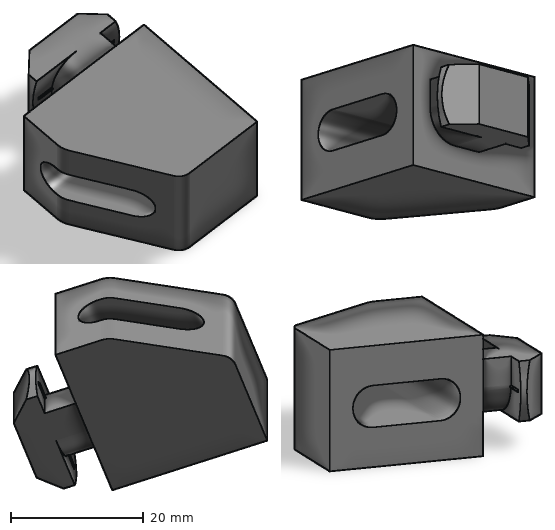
import cadquery as cq
import math

total_length = 35.9
block_side = 25.0
block_height = 19.0
block_start = total_length - block_side
slope_start = 19.35
slope_angle = math.radians(30)
slope_rise = (total_length - slope_start) * math.tan(slope_angle)
slope_start_radius = 4.0
slope_end_radius = 2.5

slot_start = 14.6
slot_length = 17.52
slot_width = 6.55

head_width = 18.02
head_side_bulge = 0.8
head_height = 9.45
head_depth = 5.0
head_front_width = 10.05
head_overhang = 0.5
head_y = block_side + head_overhang - head_width / 2
neck_radius = head_front_width / 2

ridge_height = 0.2
ridge_half_width = 0.2
ridge_reach = 7.95


def make_block():
    block = (
        cq.Workplane("XY")
        .workplane(offset=-block_height / 2)
        .moveTo(block_start, 0)
        .lineTo(slope_start, 0)
        .lineTo(total_length, slope_rise)
        .lineTo(total_length, block_side)
        .lineTo(block_start, block_side)
        .close()
        .extrude(block_height)
    )
    slope_start_edge = cq.selectors.NearestToPointSelector((slope_start, 0, 0))
    slope_end_edge = cq.selectors.NearestToPointSelector((total_length, slope_rise, 0))
    block = block.edges("|Z").edges(slope_start_edge).fillet(slope_start_radius)
    block = block.edges("|Z").edges(slope_end_edge).fillet(slope_end_radius)
    slot = (
        cq.Workplane("XZ")
        .center(slot_start + slot_length / 2, 0)
        .slot2D(slot_length, slot_width)
        .extrude(-block_side)
    )
    return block.cut(slot)


def make_head():
    """Flat-topped head with bowed sides, whose front tapers at 45 degrees on both sides."""
    half_width = head_width / 2
    edge_y = half_width - head_side_bulge
    half_height = head_height / 2
    bowed_bar = (
        cq.Workplane("YZ", origin=(0, head_y, 0))
        .moveTo(-edge_y, -half_height)
        .lineTo(edge_y, -half_height)
        .threePointArc((half_width, 0), (edge_y, half_height))
        .lineTo(-edge_y, half_height)
        .threePointArc((-half_width, 0), (-edge_y, -half_height))
        .close()
        .extrude(head_depth)
    )
    front_half = head_front_width / 2
    back_half = front_half + head_depth
    taper = (
        cq.Workplane("XY")
        .workplane(offset=-head_height / 2)
        .moveTo(0, head_y - front_half)
        .lineTo(head_depth, head_y - back_half)
        .lineTo(head_depth, head_y + back_half)
        .lineTo(0, head_y + front_half)
        .close()
        .extrude(head_height)
    )
    return bowed_bar.intersect(taper)


def make_neck():
    """Square neck with two opposite corners rounded so the head can turn a quarter."""
    neck_length = block_start - head_depth
    half_height = head_height / 2
    arc_middle = neck_radius * math.sqrt(0.5)
    arc_z = half_height - neck_radius
    return (
        cq.Workplane("YZ", origin=(head_depth, head_y, 0))
        .moveTo(-neck_radius, -half_height)
        .lineTo(0, -half_height)
        .threePointArc((arc_middle, -arc_z - arc_middle), (neck_radius, -arc_z))
        .lineTo(neck_radius, half_height)
        .lineTo(0, half_height)
        .threePointArc((-arc_middle, arc_z + arc_middle), (-neck_radius, arc_z))
        .close()
        .extrude(neck_length)
    )


def make_ridges():
    """Ridge line with sloping ends, passing through the neck to show on both sides."""
    ridge_top = head_depth + ridge_height
    bar = (
        cq.Workplane("XZ", origin=(0, head_y, 0))
        .moveTo(head_depth, -ridge_half_width)
        .lineTo(ridge_top, 0)
        .lineTo(head_depth, ridge_half_width)
        .close()
        .extrude(ridge_reach, both=True)
    )
    ridge_top_reach = ridge_reach - ridge_height
    sloped_ends = (
        cq.Workplane("XY", origin=(0, head_y, 0))
        .moveTo(head_depth, -ridge_reach)
        .lineTo(ridge_top, -ridge_top_reach)
        .lineTo(ridge_top, ridge_top_reach)
        .lineTo(head_depth, ridge_reach)
        .close()
        .extrude(ridge_half_width, both=True)
    )
    return bar.intersect(sloped_ends)


result = make_block().union(make_head()).union(make_neck()).union(make_ridges())